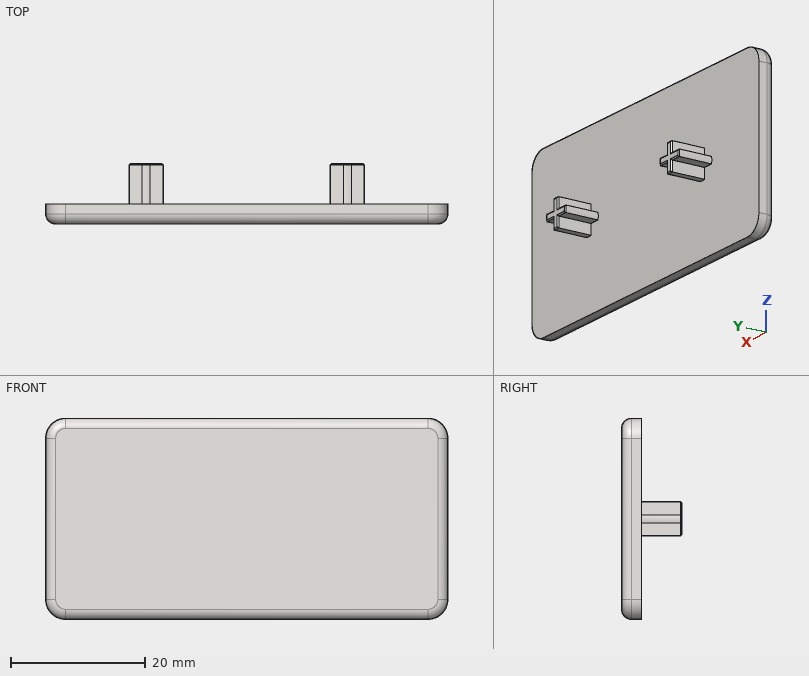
import cadquery as cq

plate_length = 60.0
plate_height = 30.0
plate_thickness = 3.0
corner_radius = 3.0
front_edge_radius = plate_thickness / 2

peg_diameter = 5.1
peg_length = 6.0
peg_spacing = 30.0
arm_width = 1.2
tip_chamfer = 0.2


def make_plate():
    """Rounded rectangle from Y = 0 to the plate thickness, with a rounded front rim."""
    plate = (
        cq.Workplane("XZ")
        .rect(plate_length, plate_height)
        .extrude(-plate_thickness)
        .edges("|Y")
        .fillet(corner_radius)
    )
    return plate.faces("<Y").edges().fillet(front_edge_radius)


def make_peg(center_x):
    """Cross of two bars whose outer ends lie on a common cylinder, chamfered around the tip."""
    peg_base = cq.Workplane("XZ", origin=(center_x, plate_thickness, 0))
    envelope = peg_base.circle(peg_diameter / 2).extrude(-peg_length)
    horizontal_bar = peg_base.rect(peg_diameter, arm_width).extrude(-peg_length)
    vertical_bar = peg_base.rect(arm_width, peg_diameter).extrude(-peg_length)
    cross = horizontal_bar.union(vertical_bar).intersect(envelope)
    return cross.faces(">Y").chamfer(tip_chamfer)


result = make_plate()
for side in (-1, 1):
    result = result.union(make_peg(side * peg_spacing / 2))